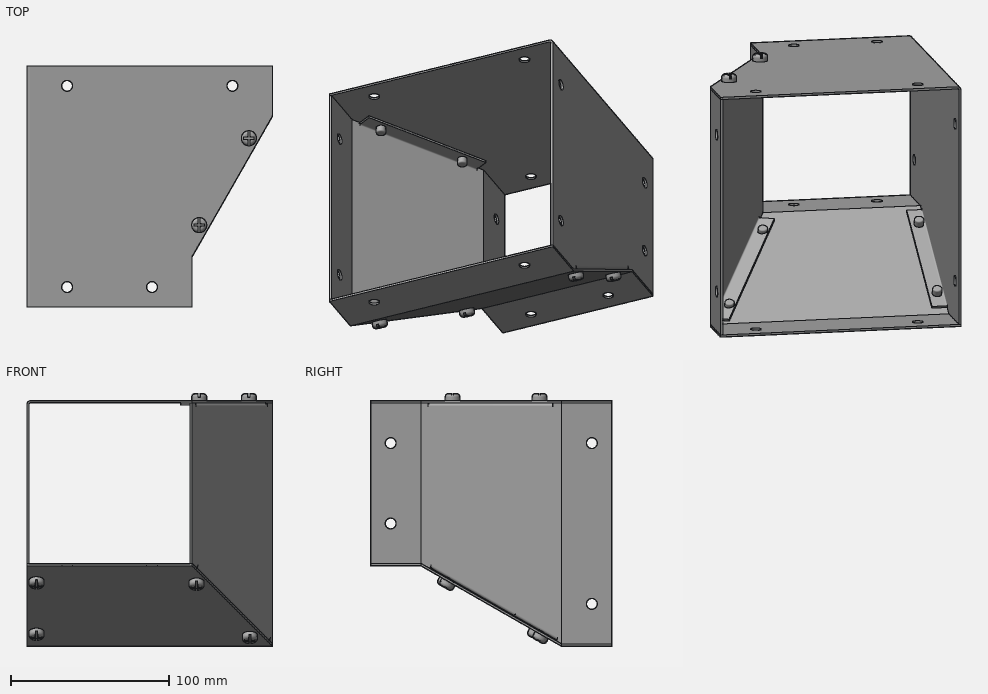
import cadquery as cq
import math

WALL = 1.5
FRONT_OPENING = 101.6
BACK_OPENING = 152.4
LENGTH = 152.4
STRAIGHT_RUN = 31.8

BEND_RADIUS = 2.2

FLANGE_WIDTH = 11.3
FLANGE_FRONT_GAP = 5.0
FLANGE_BACK_GAP = 6.4

SCREW_OFFSET = 6.0
RIGHT_SCREW_OFFSET = 6.9
TOP_SCREW_SPACING = 63.3
LEFT_SCREW_SPACING = 65.5
RIGHT_SCREW_SPACING = 75.7

HEAD_DIAMETER = 9.6
HEAD_HEIGHT = 4.5
HEAD_ROUNDING = 2.2
SHANK_DIAMETER = 6.0
SHANK_LENGTH = 7.3
SHANK_ROUNDING = 1.0
SLOT_WIDTH = 1.3
SLOT_DEPTH = 2.2
CROSS_LENGTH = 6.7
CROSS_WIDTH = 1.3
CROSS_CORE = 2.9
CROSS_TAPER = 15

HOLE_DIAMETER = 6.7
HOLE_FROM_SIDE = 25.4
HOLE_FROM_END = 12.6

FRONT_SIZE = FRONT_OPENING + 2 * WALL
SIZE = BACK_OPENING + 2 * WALL
STEP = SIZE - FRONT_SIZE
SLOPE_RUN = LENGTH - 2 * STRAIGHT_RUN
SLOPE_ANGLE = math.atan2(STEP, SLOPE_RUN)
SLOPE_LENGTH = math.hypot(STEP, SLOPE_RUN)
BEND_INSIDE = BEND_RADIUS - WALL

TOP_INWARD = cq.Vector(0, 0, -1)
LEFT_INWARD = cq.Vector(1, 0, 0)
RIGHT_INWARD = cq.Vector(-math.cos(SLOPE_ANGLE), math.sin(SLOPE_ANGLE), 0)
BOTTOM_INWARD = cq.Vector(0, math.sin(SLOPE_ANGLE), math.cos(SLOPE_ANGLE))


def stepped_path(depth):
    """(y, inset) corners of a sloping wall, at a depth below its outer face."""
    knee_shift = depth * math.tan(SLOPE_ANGLE / 2)
    return [
        (0, STEP + depth),
        (STRAIGHT_RUN + knee_shift, STEP + depth),
        (LENGTH - STRAIGHT_RUN + knee_shift, depth),
        (LENGTH, depth),
    ]


def plan_prism(depth):
    """Everything left of the right wall, at a depth below its outer face."""
    outline = [(SIZE - inset, y) for y, inset in stepped_path(depth)]
    return cq.Workplane("XY").polyline([(0, 0), *outline, (0, LENGTH)]).close().extrude(SIZE)


def side_prism(depth):
    """Everything above the bottom wall, at a depth below its outer face."""
    outline = stepped_path(depth)
    return cq.Workplane("YZ").polyline([(0, SIZE), *outline, (LENGTH, SIZE)]).close().extrude(SIZE)


class Seam:
    """Frame of a sloping seam, with a flange square to its parent panel.

    The origin lies where the parent's outer face meets the neighbour's inner face.
    Local x follows the flange away from that corner and local y rises up the parent.
    Local z runs along the seam towards the front end, with its zero half way.
    """

    def __init__(self, corner_middle, edge_length, parent_inward, neighbour_inward,
                 screw_offset, screw_spacing):
        cosine = parent_inward.dot(neighbour_inward)
        up_parent = (neighbour_inward - parent_inward * cosine).normalized()
        along_neighbour = (parent_inward - neighbour_inward * cosine).normalized()
        origin = corner_middle + up_parent * (WALL / up_parent.dot(neighbour_inward))
        self.neighbour_outward = neighbour_inward * -1
        self.back_end = FLANGE_BACK_GAP - edge_length / 2
        self.flange_length = edge_length - FLANGE_BACK_GAP - FLANGE_FRONT_GAP
        self.section = cq.Plane(origin, parent_inward, parent_inward.cross(up_parent))
        self.neighbour_face = cq.Plane(origin, along_neighbour, neighbour_inward)
        self.screw_points = [(screw_offset, side * screw_spacing / 2) for side in (-1, 1)]

    def flange_section(self):
        """Workplane across the seam at the back end of the flange."""
        return cq.Workplane(self.section).workplane(offset=self.back_end)

    def relief(self):
        """The edge of the parent panel that the bend replaces."""
        return self.flange_section().rect(2 * BEND_RADIUS, 2 * BEND_RADIUS).extrude(self.flange_length)

    def flange(self):
        """Quarter bend out of the parent panel and the flat that follows it."""
        return (
            self.flange_section()
            .moveTo(0, BEND_RADIUS)
            .radiusArc((BEND_RADIUS, 0), -BEND_RADIUS)
            .lineTo(FLANGE_WIDTH, 0)
            .lineTo(FLANGE_WIDTH, WALL)
            .lineTo(BEND_RADIUS, WALL)
            .radiusArc((WALL, BEND_RADIUS), BEND_INSIDE)
            .close()
            .extrude(self.flange_length)
        )

    def screw_holes(self):
        """Drills for the screw shanks, square to the neighbour."""
        return (
            cq.Workplane(self.neighbour_face)
            .pushPoints(self.screw_points)
            .circle(SHANK_DIAMETER / 2)
            .extrude(SHANK_LENGTH, both=True)
        )

    def fold(self, panel):
        """Give the parent panel its flange, drilled for the screws."""
        return panel.cut(self.relief()).union(self.flange()).cut(self.screw_holes())

    def screw_places(self):
        """Planes on the neighbour's outer face, facing outwards, local x along X."""
        for x, y in self.screw_points:
            seat = self.neighbour_face.toWorldCoords((x, y, -WALL))
            yield cq.Plane(seat, cq.Vector(1, 0, 0), self.neighbour_outward)


MID_LENGTH = LENGTH / 2
MID_STEP = STEP / 2
CORNER_LENGTH = math.hypot(SLOPE_LENGTH, STEP)

top_seam = Seam(
    cq.Vector(SIZE - MID_STEP, MID_LENGTH, SIZE), SLOPE_LENGTH,
    RIGHT_INWARD, TOP_INWARD, SCREW_OFFSET, TOP_SCREW_SPACING)
left_seam = Seam(
    cq.Vector(0, MID_LENGTH, MID_STEP), SLOPE_LENGTH,
    LEFT_INWARD, BOTTOM_INWARD, SCREW_OFFSET, LEFT_SCREW_SPACING)
right_seam = Seam(
    cq.Vector(SIZE - MID_STEP, MID_LENGTH, MID_STEP), CORNER_LENGTH,
    RIGHT_INWARD, BOTTOM_INWARD, RIGHT_SCREW_OFFSET, RIGHT_SCREW_SPACING)


def hole_places(edge_gap):
    """(distance from the straight side, y) of the two holes at each open end."""
    ends = ((HOLE_FROM_END, FRONT_SIZE), (LENGTH - HOLE_FROM_END, SIZE))
    return [(distance, y) for y, size in ends for distance in (edge_gap, size - edge_gap)]


def holes_through_z():
    """Holes of the top and bottom panels, which line up."""
    places = hole_places(HOLE_FROM_SIDE)
    return cq.Workplane("XY").pushPoints(places).circle(HOLE_DIAMETER / 2).extrude(SIZE)


def holes_through_x():
    """Holes of the left and right panels, which line up and sit between top and bottom."""
    places = [(y, SIZE - drop) for drop, y in hole_places(HOLE_FROM_SIDE + WALL)]
    return cq.Workplane("YZ").pushPoints(places).circle(HOLE_DIAMETER / 2).extrude(SIZE)


def make_cover():
    """Top and left panels in one bent sheet; the left one folds over the bottom."""
    sheet = (
        cq.Workplane("XZ")
        .polyline([(0, 0), (WALL, 0), (WALL, SIZE - WALL), (SIZE, SIZE - WALL), (SIZE, SIZE), (0, SIZE)])
        .close()
        .extrude(-LENGTH)
    )
    sheet = sheet.edges("|Y and <X and >Z").fillet(BEND_RADIUS)
    inner_corner = cq.selectors.NearestToPointSelector((WALL, MID_LENGTH, SIZE - WALL))
    sheet = sheet.edges(inner_corner).fillet(BEND_INSIDE)
    sheet = sheet.intersect(plan_prism(0)).intersect(side_prism(WALL))
    sheet = left_seam.fold(sheet)
    return sheet.cut(top_seam.screw_holes()).cut(holes_through_z()).cut(holes_through_x())


def make_right_panel():
    """Right panel, between top and bottom, with a flange against each of them."""
    below_top = cq.Workplane("XY").box(SIZE, LENGTH, SIZE - WALL, centered=False)
    panel = plan_prism(0).cut(plan_prism(WALL)).intersect(side_prism(WALL)).intersect(below_top)
    panel = right_seam.fold(top_seam.fold(panel))
    return panel.cut(holes_through_x())


def make_bottom_panel():
    """Bottom panel, spanning the full width below the left and right panels."""
    panel = side_prism(0).cut(side_prism(WALL)).intersect(plan_prism(0))
    return panel.cut(left_seam.screw_holes()).cut(right_seam.screw_holes()).cut(holes_through_z())


def make_screw():
    """Round-topped screw seated on z = 0, with a slot along y and a shorter cross arm."""
    head = cq.Workplane("XY").circle(HEAD_DIAMETER / 2).extrude(HEAD_HEIGHT)
    head = head.edges(">Z").fillet(HEAD_ROUNDING)
    shank = cq.Workplane("XY").circle(SHANK_DIAMETER / 2).extrude(-SHANK_LENGTH)
    shank = shank.edges("<Z").fillet(SHANK_ROUNDING)
    top = cq.Workplane("XY", origin=(0, 0, HEAD_HEIGHT))
    slot = top.rect(SLOT_WIDTH, HEAD_DIAMETER).extrude(-SLOT_DEPTH)
    cross_arm = top.rect(CROSS_LENGTH, CROSS_WIDTH).extrude(-SLOT_DEPTH)
    core = top.transformed(rotate=(0, 0, 45)).rect(CROSS_CORE, CROSS_CORE)
    core = core.extrude(-SLOT_DEPTH, taper=CROSS_TAPER)
    return head.union(shank).cut(slot).cut(cross_arm).cut(core)


cover = make_cover()
right_panel = make_right_panel()
bottom_panel = make_bottom_panel()
screw = make_screw().val()
screws = []
for seam in (top_seam, left_seam, right_seam):
    for place in seam.screw_places():
        screws.append(screw.moved(cq.Location(place)))

result = cq.Compound.makeCompound([
    cover.val(),
    right_panel.val(),
    bottom_panel.val(),
    *screws,
])